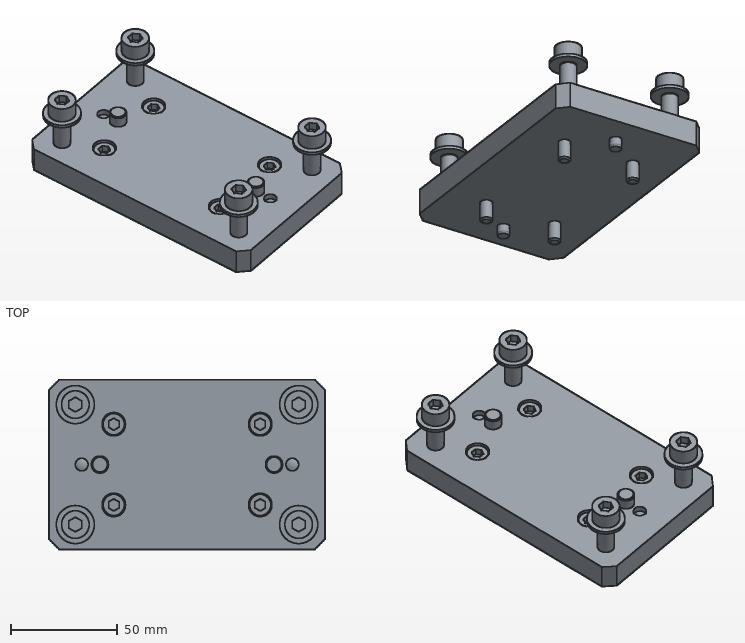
import cadquery as cq
import math

PLATE_LENGTH = 130
PLATE_WIDTH = 80.0
PLATE_THICKNESS = 13
CORNER_CHAMFER = 5.0

TALL_X = 52.5
TALL_Y = 28.2
TALL_SHANK_DIAMETER = 8.0
TALL_SHANK_LENGTH = 17.0
TALL_COLLAR_DIAMETER = 8.2
TALL_COLLAR_HEIGHT = 0.4
WASHER_DIAMETER = 18.0
WASHER_THICKNESS = 1.5
TALL_HEAD_DIAMETER = 13
TALL_HEAD_HEIGHT = 7.9
TALL_SOCKET_FLATS = 6.0
TALL_SOCKET_DEPTH = 4.0

SUNK_X = 34.5
SUNK_Y = 19.0
SUNK_HEAD_DIAMETER = 10.0
SUNK_HEAD_HEIGHT = 6.0
SUNK_HEAD_RECESS = 1.0
COUNTERBORE_DIAMETER = 11.0
SUNK_SHANK_DIAMETER = 6.0
SUNK_SHANK_PROTRUSION = 10.0
SUNK_TIP_CHAMFER = 0.8
SUNK_SOCKET_FLATS = 5.0
SUNK_SOCKET_DEPTH = 3.5

UPPER_DOWEL_X = 41.0
UPPER_DOWEL_DIAMETER = 8.0
UPPER_DOWEL_HEIGHT = 5.8
UPPER_DOWEL_CHAMFER = 0.5

LOWER_DOWEL_X = 49.5
LOWER_DOWEL_DIAMETER = 6.0
LOWER_DOWEL_PROTRUSION = 5.1
LOWER_DOWEL_LENGTH = 16.0
LOWER_DOWEL_DOME_HEIGHT = 0.8
LOWER_DOWEL_TAPER_LENGTH = 1.2
LOWER_DOWEL_TAPER_ANGLE = 15


def cylinder(diameter, z_bottom, height):
    """Upright cylinder on the Z axis."""
    return cq.Workplane("XY").workplane(offset=z_bottom).circle(diameter / 2).extrude(height)


def hex_socket(flats, z_top, depth):
    """Hexagonal prism below z_top, with two of its flats facing -X and +X."""
    corner_diameter = flats / math.cos(math.pi / 6)
    socket = cq.Workplane("XY").workplane(offset=z_top).polygon(6, corner_diameter).extrude(-depth)
    return socket.rotate((0, 0, 0), (0, 0, 1), 30)


def make_plate():
    plate = cq.Workplane("XY").box(
        PLATE_LENGTH, PLATE_WIDTH, PLATE_THICKNESS, centered=(True, True, False)
    )
    return plate.edges("|Z").chamfer(CORNER_CHAMFER)


def make_tall_screw():
    washer_bottom = PLATE_THICKNESS + TALL_SHANK_LENGTH
    head_bottom = washer_bottom + WASHER_THICKNESS
    head_top = head_bottom + TALL_HEAD_HEIGHT
    shank = cylinder(TALL_SHANK_DIAMETER, PLATE_THICKNESS, TALL_SHANK_LENGTH)
    collar = cylinder(TALL_COLLAR_DIAMETER, washer_bottom - TALL_COLLAR_HEIGHT, TALL_COLLAR_HEIGHT)
    washer = cylinder(WASHER_DIAMETER, washer_bottom, WASHER_THICKNESS)
    head = cylinder(TALL_HEAD_DIAMETER, head_bottom, TALL_HEAD_HEIGHT)
    socket = hex_socket(TALL_SOCKET_FLATS, head_top, TALL_SOCKET_DEPTH)
    return shank.union(collar).union(washer).union(head).cut(socket)


def make_counterbore():
    depth = SUNK_HEAD_RECESS + SUNK_HEAD_HEIGHT
    return cylinder(COUNTERBORE_DIAMETER, PLATE_THICKNESS - depth, depth)


def make_sunk_screw():
    head_top = PLATE_THICKNESS - SUNK_HEAD_RECESS
    head_bottom = head_top - SUNK_HEAD_HEIGHT
    shank_length = head_bottom + SUNK_SHANK_PROTRUSION
    shank = cylinder(SUNK_SHANK_DIAMETER, -SUNK_SHANK_PROTRUSION, shank_length)
    shank = shank.faces("<Z").chamfer(SUNK_TIP_CHAMFER)
    head = cylinder(SUNK_HEAD_DIAMETER, head_bottom, SUNK_HEAD_HEIGHT)
    socket = hex_socket(SUNK_SOCKET_FLATS, head_top, SUNK_SOCKET_DEPTH)
    return shank.union(head).cut(socket)


def make_upper_dowel():
    dowel = cylinder(UPPER_DOWEL_DIAMETER, PLATE_THICKNESS, UPPER_DOWEL_HEIGHT)
    return dowel.faces(">Z").edges().chamfer(UPPER_DOWEL_CHAMFER)


def make_lower_dowel_hole():
    return cylinder(LOWER_DOWEL_DIAMETER, 0, PLATE_THICKNESS)


def make_lower_dowel():
    radius = LOWER_DOWEL_DIAMETER / 2
    tip_radius = radius - LOWER_DOWEL_TAPER_LENGTH * math.tan(math.radians(LOWER_DOWEL_TAPER_ANGLE))
    bottom = -LOWER_DOWEL_PROTRUSION
    top = bottom + LOWER_DOWEL_LENGTH
    dome_radius = (radius**2 + LOWER_DOWEL_DOME_HEIGHT**2) / (2 * LOWER_DOWEL_DOME_HEIGHT)
    middle_angle = math.asin(radius / dome_radius) / 2
    dome_middle = (
        dome_radius * math.sin(middle_angle),
        top - dome_radius * (1 - math.cos(middle_angle)),
    )
    profile = (
        cq.Workplane("XZ")
        .moveTo(0, bottom)
        .lineTo(tip_radius, bottom)
        .lineTo(radius, bottom + LOWER_DOWEL_TAPER_LENGTH)
        .lineTo(radius, top - LOWER_DOWEL_DOME_HEIGHT)
        .threePointArc(dome_middle, (0, top))
        .close()
    )
    return profile.revolve(360, (0, 0, 0), (0, 1, 0))


def corners(x, y):
    """Four places mirrored about both vertical mid-planes."""
    return [(i * x, j * y, 0) for i in (-1, 1) for j in (-1, 1)]


def sides(x):
    """Two places on the X axis, one on each side of the centre."""
    return [(-x, 0, 0), (x, 0, 0)]


result = make_plate()

for place in corners(SUNK_X, SUNK_Y):
    result = result.cut(make_counterbore().translate(place))
    result = result.union(make_sunk_screw().translate(place))

for place in sides(LOWER_DOWEL_X):
    result = result.cut(make_lower_dowel_hole().translate(place))
    result = result.union(make_lower_dowel().translate(place))

for place in sides(UPPER_DOWEL_X):
    result = result.union(make_upper_dowel().translate(place))

for place in corners(TALL_X, TALL_Y):
    result = result.union(make_tall_screw().translate(place))